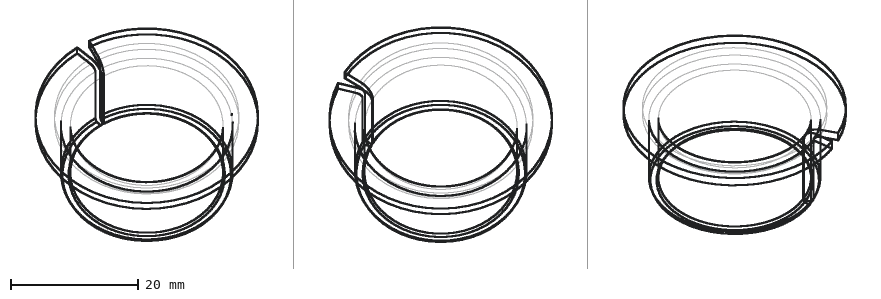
import cadquery as cq
import math

bore_radius = 12.0
sheet_thickness = 1.5
flange_radius = 17.5
height = 15.0
outer_bend_radius = 1.0
lead_in_height = 0.7
lead_in_angle = 20.0
bore_chamfer_height = 0.5
bore_chamfer_angle = 30.0
split_width_at_bore = 0.355
split_half_angle = 10.0
split_overrun = 1.0

sleeve_radius = bore_radius + sheet_thickness
inner_bend_radius = outer_bend_radius + sheet_thickness
bend_center_radius = sleeve_radius + outer_bend_radius
bend_center_z = height - inner_bend_radius
flange_underside_z = height - sheet_thickness
lead_in_depth = lead_in_height * math.tan(math.radians(lead_in_angle))
bore_chamfer_depth = bore_chamfer_height * math.tan(math.radians(bore_chamfer_angle))


def make_flanged_ring():
    """Full ring: sleeve, bend and flange revolved about Z."""
    diagonal = math.sqrt(0.5)
    inner_bend_mid = (
        bend_center_radius - inner_bend_radius * diagonal,
        bend_center_z + inner_bend_radius * diagonal,
    )
    outer_bend_mid = (
        bend_center_radius - outer_bend_radius * diagonal,
        bend_center_z + outer_bend_radius * diagonal,
    )
    profile = (
        cq.Workplane("XZ")
        .moveTo(bore_radius + bore_chamfer_depth, 0)
        .lineTo(bore_radius, bore_chamfer_height)
        .lineTo(bore_radius, bend_center_z)
        .threePointArc(inner_bend_mid, (bend_center_radius, height))
        .lineTo(flange_radius, height)
        .lineTo(flange_radius, flange_underside_z)
        .lineTo(bend_center_radius, flange_underside_z)
        .threePointArc(outer_bend_mid, (sleeve_radius, bend_center_z))
        .lineTo(sleeve_radius, lead_in_height)
        .lineTo(sleeve_radius - lead_in_depth, 0)
        .close()
    )
    ring = profile.revolve(360, (0, 0, 0), (0, 1, 0))
    return ring.rotate((0, 0, 0), (0, 0, 1), 180)


def make_split_wedge():
    """Wedge on the -X side that opens outward and cuts the full height."""
    slope = math.tan(math.radians(split_half_angle))
    apex_x = -bore_radius + split_width_at_bore / 2 / slope
    outer_x = -flange_radius - split_overrun
    outer_half_width = (apex_x - outer_x) * slope
    return (
        cq.Workplane("XY")
        .moveTo(apex_x, 0)
        .lineTo(outer_x, outer_half_width)
        .lineTo(outer_x, -outer_half_width)
        .close()
        .extrude(height)
    )


result = make_flanged_ring().cut(make_split_wedge())